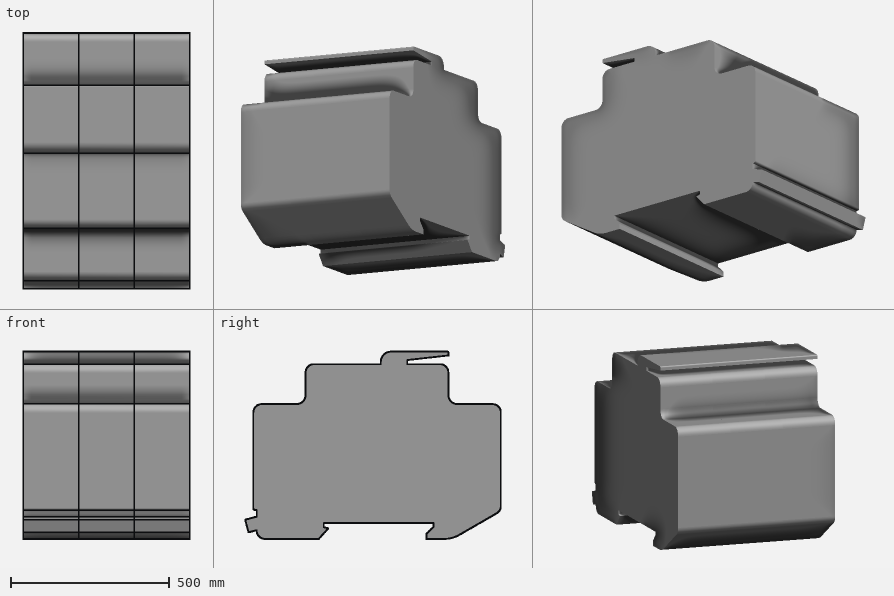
import cadquery as cq
import math

module_count = 3
row_width = 525.0
module_width = row_width / module_count

body_depth = 779.0
shoulder_height = 425.0
upper_height = 551.0
total_height = 590.0
upper_front = 164.0
upper_back = 614.0
corner_radius = 27.0

tab_front = 401.0
tab_root = 485.0
tab_root_height = 563.0
tab_tip_height = 577.0
tab_front_radius = 33.0
tab_tip_radius = 4.0

bevel_height = 88.5
bevel_angle = math.radians(30)
bevel_length = bevel_height / math.tan(bevel_angle)
bevel_bottom_radius = 97

slot_height = 50.0
slot_front = 222.0
slot_back = 567.0
back_hook_reach = 22.0
back_hook_base = 17.0
front_hook_reach = 14.5
front_hook_height = 38.0
front_hook_foot = 206.0

latch_tilt = math.radians(15)
recess_depth = 10.5
recess_top = 91.0
recess_edge_radius = 6.5
latch_reach = 26.0
latch_tip_height = 61.0
latch_thickness = 42.0


def top_outline():
    """Corners from the front wall over the top to the back wall, as (y, z, radius)."""
    return [
        (0, shoulder_height, corner_radius),
        (upper_front, shoulder_height, corner_radius),
        (upper_front, upper_height, corner_radius),
        (tab_front, upper_height, 0),
        (tab_front, total_height, tab_front_radius),
        (upper_back, total_height, tab_tip_radius),
        (upper_back, tab_tip_height, 0),
        (tab_root, tab_root_height, 0),
        (tab_root, upper_height, 0),
        (upper_back, upper_height, corner_radius),
        (upper_back, shoulder_height, corner_radius),
        (body_depth, shoulder_height, corner_radius),
    ]


def rail_outline():
    """Corners from the back bevel along the underside to the tip of the front hook."""
    hook_tip_drop = front_hook_reach * math.tan(latch_tilt)
    return [
        (body_depth, bevel_height, corner_radius),
        (body_depth - bevel_length, 0, bevel_bottom_radius),
        (slot_back - back_hook_reach, 0, 0),
        (slot_back - back_hook_reach, back_hook_base, 0),
        (slot_back, back_hook_base + back_hook_reach, 0),
        (slot_back, slot_height, 0),
        (slot_front, slot_height, 0),
        (slot_front, front_hook_height, 0),
        (slot_front + front_hook_reach, front_hook_height - hook_tip_drop, 0),
    ]


def latch_outline():
    """Corners from the foot of the front hook around the latch to the front wall."""
    slope = math.tan(latch_tilt)
    tip_y = -latch_reach
    lower_tip_y = tip_y + latch_thickness * math.sin(latch_tilt)
    lower_tip_z = latch_tip_height - latch_thickness * math.cos(latch_tilt)
    return [
        (front_hook_foot, 0, 0),
        (recess_depth, 0, corner_radius),
        (recess_depth, lower_tip_z + (recess_depth - lower_tip_y) * slope, 0),
        (lower_tip_y, lower_tip_z, 0),
        (tip_y, latch_tip_height, 0),
        (recess_depth, latch_tip_height + (recess_depth - tip_y) * slope, 0),
        (recess_depth, recess_top, 0),
        (0, recess_top, recess_edge_radius),
    ]


def corner_arc(before, corner, after, radius):
    """Start, middle and end of the arc that rounds a corner between two straight sides."""
    point = cq.Vector(*corner)
    to_before = (cq.Vector(*before) - point).normalized()
    to_after = (cq.Vector(*after) - point).normalized()
    half_angle = to_before.getAngle(to_after) / 2
    setback = radius / math.tan(half_angle)
    middle_distance = radius / math.sin(half_angle) - radius
    bisector = (to_before + to_after).normalized()
    points = (
        point + to_before * setback,
        point + bisector * middle_distance,
        point + to_after * setback,
    )
    return [(p.x, p.y) for p in points]


def draw_outline(plane, corners):
    """Closed wire through the corners, with an arc at each corner that has a radius."""
    path = plane.moveTo(*corners[0][:2])
    for i in range(1, len(corners)):
        y, z, radius = corners[i]
        if radius == 0:
            path = path.lineTo(y, z)
            continue
        after = corners[(i + 1) % len(corners)][:2]
        start, middle, end = corner_arc(corners[i - 1][:2], (y, z), after, radius)
        path = path.lineTo(*start).threePointArc(middle, end)
    return path.close()


def make_module(left_x):
    """One module, with its left side at left_x."""
    corners = latch_outline() + top_outline() + rail_outline()
    plane = cq.Workplane("YZ", origin=(left_x, 0, 0))
    return draw_outline(plane, corners).extrude(module_width)


modules = []
for index in range(module_count):
    module = make_module(index * module_width - row_width / 2)
    modules.append(module.val())

result = cq.Compound.makeCompound(modules)